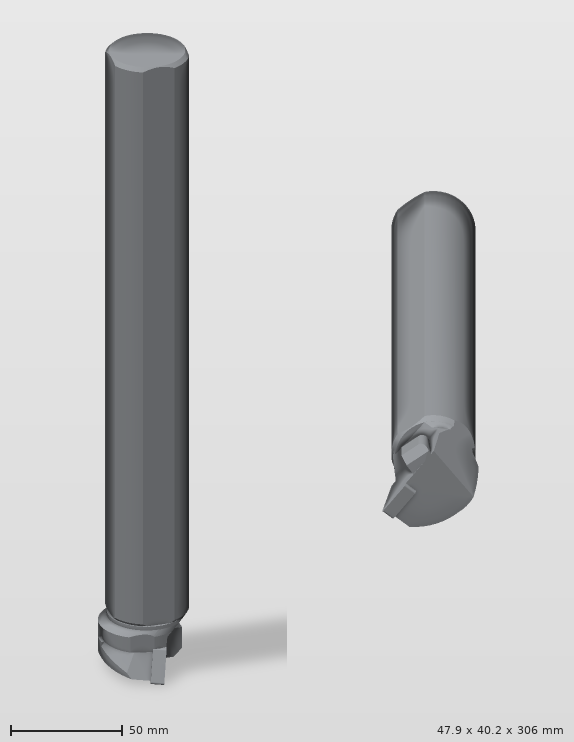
import cadquery as cq
import math


total_length = 306.0
shank_radius = 19.0
flat_distance = 17.5
end_chamfer = 1.8
shank_bottom = 26.3
taper_depth = 3.0
taper_inset = 1.8

head_radius = 19.0
head_x = 1.0
head_y = -3.7
head_top = 20.5
collar_radius = 18.0
collar_x = 0.5
collar_y = -0.5
collar_top = 25.0
collar_bottom = 23.3
neck_radius = 18.7
neck_x = 1.8
neck_y = -2.5
neck_edge_x = -2.5
neck_bottom = 13.0
side_flat_distance = 18.0
nose_edge_x = 3.0
nose_spread = 9.8
nose_radius = 29.7
nose_x = 3.7
nose_y = 7.0
bevel_top = 30.0
bevel_angle = 25.2

tip_x = 29.5
tip_y = -1.2
tip_z = -0.075
rake_turn = 15.0
rake_tilt = 6.0
nose_angle = 55.0
edge_rise = 3.0
insert_side = 16.5
insert_thickness = 6.0
corner_radius = 0.75
end_overhang = 1.2
side_overhang = 1.0
pocket_top = 19.0

clamp_left = -4.5
clamp_width = 12.2
clamp_bottom = 2.8
clamp_height = 14.5
clamp_reach_y = 14.0
clamp_chamfer = 4.0
clamp_round = 3.0

beyond = 122.5


def rake_plane():
    """Plane on the rake face: X toward the tip, Y nearly straight up, normal into the insert."""
    turn = math.radians(rake_turn)
    tilt = math.radians(rake_tilt)
    along = (math.cos(turn), -math.sin(turn), 0)
    inward = (
        -math.sin(turn) * math.cos(tilt),
        -math.cos(turn) * math.cos(tilt),
        math.sin(tilt),
    )
    return cq.Plane(origin=(tip_x, tip_y, tip_z), xDir=along, normal=inward)


def polar(length, angle):
    """Point at a distance and an angle (degrees) from the origin."""
    return (length * math.cos(math.radians(angle)), length * math.sin(math.radians(angle)))


lower_edge_angle = 180 - edge_rise
side_edge_angle = lower_edge_angle - nose_angle


def make_insert():
    lower = polar(insert_side, lower_edge_angle)
    side = polar(insert_side, side_edge_angle)
    far = (lower[0] + side[0], lower[1] + side[1])
    blank = cq.Workplane(rake_plane()).polyline([(0, 0), lower, far, side]).close()
    blank = blank.extrude(insert_thickness)
    thickness_edges = cq.selectors.ParallelDirSelector(rake_plane().zDir)
    return blank.edges(thickness_edges).fillet(corner_radius)


def to_the_right_of(x):
    """Large block covering everything on the +X side of x."""
    return cq.Workplane().box(beyond, beyond, beyond).translate((x + beyond / 2, 0, 0))


def make_shank():
    length = total_length - shank_bottom
    shank = cq.Workplane(origin=(0, 0, shank_bottom)).circle(shank_radius).extrude(length)
    shank = shank.faces(">Z").chamfer(end_chamfer)
    taper = cq.Solid.makeCone(shank_radius - taper_inset, shank_radius, taper_depth)
    shank = shank.union(cq.Workplane(taper.translate(cq.Vector(0, 0, shank_bottom - taper_depth))))
    envelope = cq.Workplane().box(
        flat_distance + beyond, 2 * flat_distance, 2 * total_length, centered=(False, True, False)
    )
    return shank.intersect(envelope.translate((-beyond, 0, 0)))


def make_neck():
    column = cq.Workplane(origin=(head_x, head_y, 0)).circle(head_radius).extrude(head_top)
    core = cq.Workplane(origin=(neck_x, neck_y, 0)).circle(neck_radius).extrude(head_top)
    band = to_the_right_of(neck_edge_x).translate((0, 0, neck_bottom + beyond / 2))
    relief = band.union(to_the_right_of(nose_edge_x)).cut(core)
    collar = cq.Workplane(origin=(collar_x, collar_y, collar_bottom)).circle(collar_radius)
    collar = collar.extrude(collar_top - collar_bottom)
    shoulder = (
        cq.Workplane(origin=(head_x, head_y, head_top))
        .circle(head_radius)
        .workplane(offset=collar_bottom - head_top)
        .center(collar_x - head_x, collar_y - head_y)
        .circle(collar_radius)
        .loft(ruled=True)
    )
    along = rake_plane().xDir
    flat_point = cq.Vector(head_x, head_y, 0) + along * side_flat_distance
    flat_plane = cq.Plane(origin=flat_point.toTuple(), normal=along.toTuple())
    side_flat = cq.Workplane(flat_plane).rect(beyond, beyond).extrude(beyond)
    return column.cut(relief).union(shoulder).union(collar).cut(side_flat)


def make_nose():
    wall = cq.Workplane(origin=(nose_x, nose_y, 0)).circle(nose_radius).extrude(neck_bottom)
    cone = cq.Solid.makeCone(neck_radius + nose_spread, neck_radius, neck_bottom)
    cone = cq.Workplane(cone.translate(cq.Vector(neck_x, neck_y, 0)))
    inset = side_overhang / math.sin(math.radians(side_edge_angle))
    low = polar(-beyond, side_edge_angle)
    high = polar(beyond, side_edge_angle)
    side_trim = (
        cq.Workplane(rake_plane())
        .polyline([
            (low[0] - inset, low[1]),
            (high[0] - inset, high[1]),
            (high[0] + beyond, high[1]),
            (low[0] + beyond, low[1]),
        ])
        .close()
        .extrude(beyond, both=True)
    )
    return wall.intersect(cone).intersect(to_the_right_of(nose_edge_x)).cut(side_trim)


def make_end_trim():
    """Everything below the bottom face, which runs parallel to the lower cutting edge."""
    left = polar(beyond, lower_edge_angle)
    right = polar(-beyond, lower_edge_angle)
    return (
        cq.Workplane(rake_plane())
        .polyline([
            (left[0], left[1] + end_overhang),
            (right[0], right[1] + end_overhang),
            (right[0], right[1] - beyond),
            (left[0], left[1] - beyond),
        ])
        .close()
        .extrude(beyond, both=True)
    )


def make_bevel_trim():
    """Everything outside the slanted face on the -X side."""
    run = bevel_top * math.tan(math.radians(bevel_angle))
    return (
        cq.Workplane("XZ")
        .polyline([
            (-shank_radius, bevel_top),
            (-shank_radius + 2 * run, -bevel_top),
            (-beyond, -bevel_top),
            (-beyond, bevel_top),
        ])
        .close()
        .extrude(beyond, both=True)
    )


def make_rake_clearance():
    """Open space in front of the rake face, with a 45 degree slope at its top."""
    height = pocket_top - tip_z
    return (
        cq.Workplane(
            cq.Plane(
                origin=rake_plane().origin.toTuple(),
                xDir=(-rake_plane().zDir).toTuple(),
                normal=rake_plane().xDir.toTuple(),
            )
        )
        .polyline([(0, -beyond), (0, height), (beyond, height + beyond), (beyond, -beyond)])
        .close()
        .extrude(beyond, both=True)
    )


def make_clamp():
    clamp = (
        cq.Workplane()
        .box(clamp_width, clamp_reach_y, clamp_height, centered=False)
        .translate((clamp_left, 0, clamp_bottom))
    )
    clamp = clamp.faces(">Y").edges("<Z").chamfer(clamp_chamfer)
    return clamp.faces("<X").edges(">Y and |Z").fillet(clamp_round)


def make_holder(insert):
    clearance = make_rake_clearance()
    head = make_neck().union(make_nose()).cut(clearance)
    head = head.union(make_clamp().intersect(clearance))
    holder = make_shank().union(head)
    holder = holder.cut(make_end_trim()).cut(make_bevel_trim())
    return holder.cut(insert)


insert = make_insert()
holder = make_holder(insert)
result = cq.Compound.makeCompound([holder.solids().val(), insert.solids().val()])